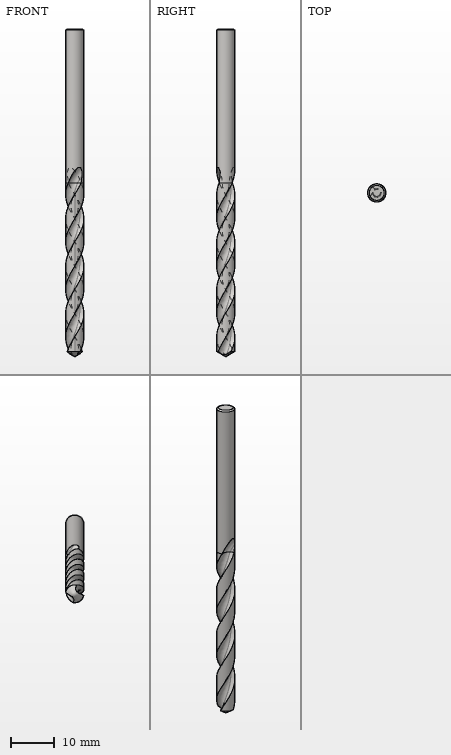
import cadquery as cq
import math

diameter = 4.2
radius = diameter / 2
total_length = 75.0
fluted_length = 39.8
point_angle = 118.0
point_height = radius / math.tan(math.radians(point_angle / 2))
end_chamfer_width = 0.4
end_chamfer_height = 0.3

flute_count = 2
flute_spacing = 360 / flute_count
edge_angle = 44.0
core_radius = 0.85
core_angle = -12.0
hook_radius = 1.18
hook_angle = 32.0

flute_lead = 21.7
helix_slope = 2 * math.pi * radius / flute_lead
cutter_overrun = 1.0
heel_clearance_slope = 0.65

runout_bend_radius = 10.0
runout_bend_angle = 35.0


def polar(distance, angle):
    """Point at an angle from -Y, positive towards +X."""
    turn = math.radians(angle)
    return cq.Vector(distance * math.sin(turn), -distance * math.cos(turn), 0)


def flute_profile(height):
    """Section of the flute cutter facing -Y: a curved floor from heel to hook, then a flat lip wall."""
    hook = polar(hook_radius, hook_angle)
    lip = polar(radius, edge_angle)
    heel = polar(radius, -edge_angle)
    outside_lip = lip + (lip - hook).normalized() * cutter_overrun
    outside_heel = heel + cq.Vector(-heel_clearance_slope, -1, 0) * cutter_overrun
    return (
        cq.Workplane("XY", origin=(0, 0, height))
        .moveTo(outside_heel.x, outside_heel.y)
        .lineTo(heel.x, heel.y)
        .threePointArc(polar(core_radius, core_angle), hook)
        .lineTo(outside_lip.x, outside_lip.y)
        .close()
    )


def turned(half_outline):
    """Solid of revolution about Z from (radius, height) points, with its seam on the -Y side."""
    blank = cq.Workplane("XZ").polyline(half_outline).close().revolve(360, (0, 0), (0, 1))
    return about_axis(blank, -90)


def about_axis(body, angle):
    return body.rotate((0, 0, 0), (0, 0, 1), angle)


def cut_flutes(blank, cutter):
    """Cut the blank with the cutter at each flute position."""
    for flute in range(flute_count):
        blank = blank.cut(about_axis(cutter, flute * flute_spacing))
    return blank


def helical_cutter():
    """Twisted flute cutter that faces -Y at the top of the fluted body and overruns both of its ends."""
    length = fluted_length + 2 * cutter_overrun
    axis = cq.Workplane("XZ").lineTo(0, length)
    helix = cq.Workplane(cq.Wire.makeHelix(flute_lead, length, radius))
    cutter = flute_profile(0).sweep(axis, auxSpine=helix)
    turn_to_top = 360 * (fluted_length + cutter_overrun) / flute_lead
    return about_axis(cutter, -turn_to_top).translate((0, 0, -cutter_overrun))


def runout_cutter():
    """Flute cutter that leaves along the helix direction and bends outwards through the surface."""
    start = cq.Vector(0, -core_radius, fluted_length)
    along = cq.Vector(helix_slope, 0, 1).normalized()
    outward = cq.Vector(0, -1, 0)

    def arc_point(turn):
        advance = along * (runout_bend_radius * math.sin(turn))
        rise = outward * (runout_bend_radius * (1 - math.cos(turn)))
        return start + advance + rise

    bend = math.radians(runout_bend_angle)
    arc = cq.Edge.makeThreePointArc(start, arc_point(bend / 2), arc_point(bend))
    return flute_profile(fluted_length).sweep(cq.Workplane(arc))


def fluted_body():
    blank = turned(
        [
            (0, 0),
            (radius, point_height),
            (radius, fluted_length),
            (0, fluted_length),
        ]
    )
    return cut_flutes(blank, helical_cutter())


def shank_body():
    blank = turned(
        [
            (0, fluted_length),
            (radius, fluted_length),
            (radius, total_length - end_chamfer_height),
            (radius - end_chamfer_width, total_length),
            (0, total_length),
        ]
    )
    return cut_flutes(blank, runout_cutter())


fluted = fluted_body()
shank = shank_body()
result = cq.Compound.makeCompound([fluted.solids().val(), shank.solids().val()])